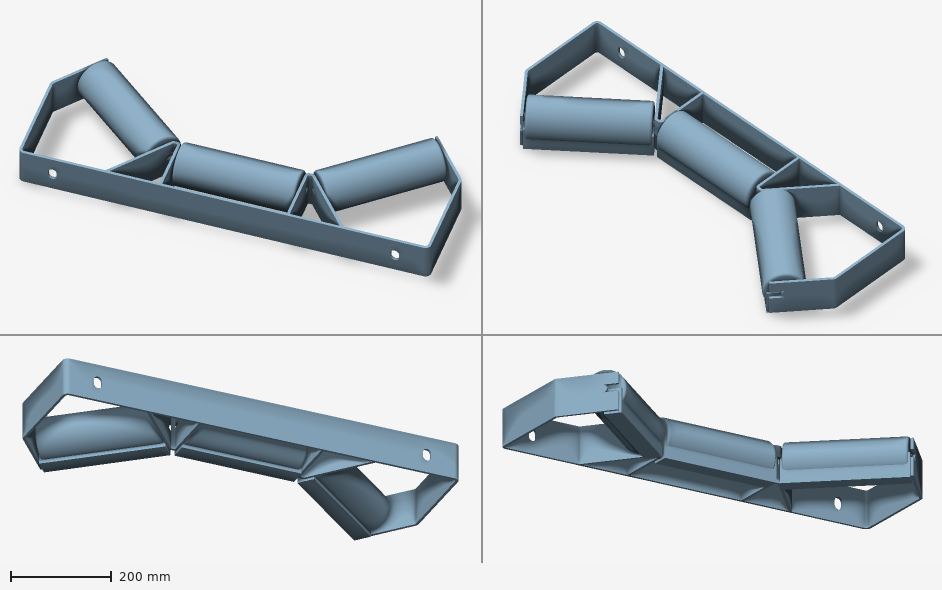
import cadquery as cq
import math

frame_length = 860.0
bar_width = 80.0
bar_thickness = 6.0
frame_bend_radius = 12.0
shoulder_height = 205.0
arm_length = 132.0
tilt = 40.0

mount_slot_width = 18.0
mount_slot_height = 26.0
mount_slot_x = 358.0

roller_diameter = 89.5
roller_length = 253.0
roller_edge_radius = 5.0
axis_z = 8.0
centre_axis_y = 100.0
wing_axis_on_arm = 100.0
support_gap = 261.0
shaft_diameter = 20.0
journal_diameter = 16.0
slot_reach = 69.0

block_width = 37.0
block_top = axis_z
block_bottom = -45.0

bracket_thickness = 6.0
bracket_bend_radius = 9.0
bracket_height = 126.0

half_length = frame_length / 2
sin_tilt = math.sin(math.radians(tilt))
cos_tilt = math.cos(math.radians(tilt))


def on_arm(distance, depth):
    """Point at a distance along the left arm and a depth inward from its outer face."""
    x = -half_length + distance * sin_tilt + depth * cos_tilt
    y = shoulder_height + distance * cos_tilt - depth * sin_tilt
    return (x, y)


def shifted_left(path, shift):
    """The path moved sideways to its left, with mitred corners."""
    headings = [math.atan2(b[1] - a[1], b[0] - a[0]) for a, b in zip(path, path[1:])]
    moved = []
    for (x, y), before, after in zip(path, headings[:1] + headings, headings + headings[-1:]):
        half_turn = math.remainder(after - before, 2 * math.pi) / 2
        across = before + half_turn + math.pi / 2
        reach = shift / math.cos(half_turn)
        moved.append((x + reach * math.cos(across), y + reach * math.sin(across)))
    return moved


def round_bends(body, corners, radius):
    """Fillet the edges parallel to Z that stand on the given corner points."""
    edges = [
        edge
        for edge in body.edges("|Z").vals()
        for x, y in corners
        if math.hypot(edge.Center().x - x, edge.Center().y - y) < bracket_thickness / 10
    ]
    return body.newObject(edges).fillet(radius)


def bent_bar(outer_path, thickness, bend_radius):
    """Bar as wide as the frame, with its outer face on the path and its material to the left."""
    inner_path = shifted_left(outer_path, thickness)
    bar = (
        cq.Workplane("XY")
        .polyline(outer_path + inner_path[::-1])
        .close()
        .extrude(bar_width / 2, both=True)
    )
    bar = round_bends(bar, outer_path[1:-1], bend_radius)
    return round_bends(bar, inner_path[1:-1], bend_radius - thickness)


def place(body, station):
    """Move a body built along X through the origin to a roller station."""
    x, y, angle = station
    return body.rotate((0, 0, 0), (0, 0, 1), angle).translate((x, y, axis_z))


wing_x, wing_y = on_arm(wing_axis_on_arm, bar_thickness + support_gap / 2)
stations = [
    (wing_x, wing_y, -tilt),
    (0, centre_axis_y, 0),
    (-wing_x, wing_y, tilt),
]


def plate_slots():
    """Cutters for the slots that let the shafts drop into their plates."""
    cutters = cq.Workplane("XY")
    length = support_gap + 2 * bar_thickness
    slot = cq.Workplane("XY").box(length, slot_reach, journal_diameter, centered=(True, False, True))
    round_end = cq.Workplane("YZ").circle(journal_diameter / 2).extrude(length / 2, both=True)
    cutter = slot.union(round_end)
    for station in stations:
        cutters = cutters.add(place(cutter, station))
    return cutters


def cut_slots(body):
    for cutter in plate_slots().vals():
        body = body.cut(cq.Workplane(cutter))
    return body


def make_frame():
    left_side = [on_arm(arm_length, 0), (-half_length, shoulder_height), (-half_length, 0)]
    right_side = [(-x, y) for x, y in reversed(left_side)]
    frame = bent_bar(left_side + right_side, bar_thickness, frame_bend_radius)
    mount_slots = (
        cq.Workplane("XZ")
        .pushPoints([(-mount_slot_x, 0), (mount_slot_x, 0)])
        .slot2D(mount_slot_height, mount_slot_width, 90)
        .extrude(-bar_thickness)
    )
    return cut_slots(frame.cut(mount_slots))


def make_left_bracket():
    """Upright leg faces the centre roller, leaning leg faces the left wing roller."""
    face_x = -support_gap / 2
    lean_x, lean_y = on_arm(0, bar_thickness + support_gap)
    lean = sin_tilt / cos_tilt
    outer_path = [
        (face_x, 0),
        (face_x, bracket_height),
        (lean_x + (bracket_height - lean_y) * lean, bracket_height),
        (lean_x - lean_y * lean, 0),
    ]
    bracket = bent_bar(outer_path, bracket_thickness, bracket_bend_radius)
    base = cq.Workplane("XY").box(frame_length, 2 * bar_thickness, bar_width)
    return cut_slots(bracket.cut(base))


def make_shaft():
    """Shaft with reduced ends and a flat-sided block below its middle."""
    journal = cq.Workplane("YZ").circle(journal_diameter / 2)
    shaft = journal.extrude(support_gap / 2 + bracket_thickness, both=True)
    shaft = shaft.union(
        cq.Workplane("YZ").circle(shaft_diameter / 2).extrude(support_gap / 2, both=True)
    )
    block = (
        cq.Workplane("XY")
        .box(support_gap, block_width, block_top - block_bottom, centered=(True, False, False))
        .translate((0, 0, block_bottom - axis_z))
    )
    return shaft.union(block)


def make_roller(shaft):
    roller = (
        cq.Workplane("YZ")
        .circle(roller_diameter / 2)
        .extrude(roller_length / 2, both=True)
        .edges()
        .fillet(roller_edge_radius)
    )
    return roller.cut(shaft)


frame = make_frame()
left_bracket = make_left_bracket()
right_bracket = left_bracket.mirror("YZ")
shaft = make_shaft()
roller = make_roller(shaft)

shafts = [place(shaft, s) for s in stations]
rollers = [place(roller, s) for s in stations]

result = cq.Compound.makeCompound(
    [b.val() for b in [frame, left_bracket, right_bracket] + shafts + rollers]
)